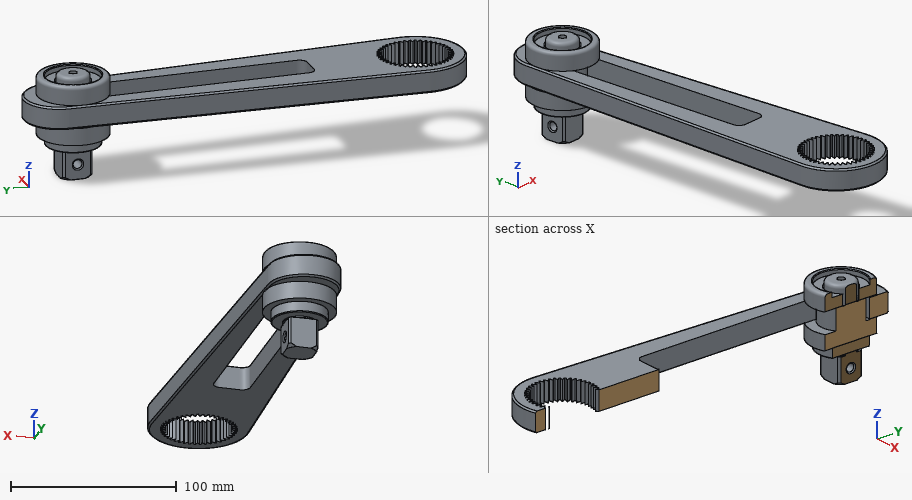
import cadquery as cq
import math

arm_thickness = 14.5
ring_end_radius = 30.98
slot_end_radius = 22.5
overall_length = 280.5
arm_edge_chamfer = 1.0
slot_width = 23.0
slot_corner_radius = 5.0
slot_start = 66.7

tooth_count = 44
tooth_turn = 2.3
tooth_root_radius = 23.3
tooth_tip_radius = 20.5
root_share = 0.25

overall_height = 65.5
head_inset = 31.5
head_radius = 22.5
post_radius = 15.1
cap_gap = 0.3
cap_height = 11.8
cap_fillet = 2.2
recess_radius = 17.5
recess_depth = 3.6
recess_chamfer = 0.5
flange_height = 11.0
disc_radius = 17.5
disc_height = 6.7
disc_chamfer = 0.5

button_radius = 10.5
button_bore_radius = 11.2
button_rise = 1.5
button_fillet = 2.5
button_hole_radius = 2.5
button_hole_depth = 2.8

square_size = 18.8
square_corner_radius = 12.3
square_end_chamfer = 2.0
collar_radius = 10.5
collar_height = 0.8
detent_hole_radius = 2.8
detent_countersink = 0.8

arm_top = arm_thickness / 2
arm_bottom = -arm_top
end_distance = overall_length - ring_end_radius - slot_end_radius
head_y = overall_length - ring_end_radius - head_inset
slot_end = head_y + post_radius
cap_bottom = arm_top + cap_gap
cap_top = cap_bottom + cap_height
recess_floor = cap_top - recess_depth
button_top = cap_top + button_rise
flange_bottom = arm_bottom - flange_height
disc_bottom = flange_bottom - disc_height
drive_bottom = button_top - overall_height


def disc(radius, bottom, top):
    """A cylinder on the head axis."""
    return cq.Workplane("XY", origin=(0, head_y, bottom)).circle(radius).extrude(top - bottom)


def polar(radius, angle):
    return (radius * math.cos(angle), radius * math.sin(angle))


def make_bar():
    tilt = math.asin((ring_end_radius - slot_end_radius) / end_distance)
    ring_x, ring_y = polar(ring_end_radius, tilt)
    end_x, end_rise = polar(slot_end_radius, tilt)
    end_y = end_distance + end_rise
    return (
        cq.Workplane("XY", origin=(0, 0, arm_bottom))
        .moveTo(ring_x, ring_y)
        .lineTo(end_x, end_y)
        .threePointArc((0, end_distance + slot_end_radius), (-end_x, end_y))
        .lineTo(-ring_x, ring_y)
        .threePointArc((0, -ring_end_radius), (ring_x, ring_y))
        .close()
        .extrude(arm_thickness)
        .faces("<Z or >Z")
        .chamfer(arm_edge_chamfer)
    )


def make_slot():
    return (
        cq.Workplane("XY", origin=(0, (slot_start + slot_end) / 2, 0))
        .rect(slot_width, slot_end - slot_start)
        .extrude(arm_top, both=True)
        .edges("|Z")
        .fillet(slot_corner_radius)
    )


def make_toothed_hole():
    pitch = 2 * math.pi / tooth_count
    turn = math.radians(tooth_turn)
    tooth_profile = [
        (tooth_tip_radius, 0),
        (tooth_root_radius, 0.5 - root_share / 2),
        (tooth_root_radius, 0.5 + root_share / 2),
    ]
    outline = []
    for tooth in range(tooth_count):
        start = turn + tooth * pitch
        for radius, position in tooth_profile:
            outline.append(polar(radius, start + position * pitch))
    return cq.Workplane("XY").polyline(outline).close().extrude(arm_top, both=True)


def make_arm():
    return make_bar().cut(make_slot()).cut(make_toothed_hole())


def make_cap():
    cap = disc(head_radius, cap_bottom, cap_top).faces(">Z").edges().fillet(cap_fillet)
    cap = cap.cut(disc(recess_radius, recess_floor, cap_top))
    rim = cap.faces(">Z").edges("%CIRCLE").edges(cq.selectors.RadiusNthSelector(0))
    cap = rim.chamfer(recess_chamfer)
    return cap.cut(disc(button_bore_radius, cap_bottom, cap_top))


def make_button():
    button = disc(button_radius, cap_bottom, button_top).faces(">Z").fillet(button_fillet)
    return button.cut(disc(button_hole_radius, button_top - button_hole_depth, button_top))


def make_flange():
    flats = cq.Workplane("XY").box(slot_width, 2 * head_radius, overall_height)
    post = disc(post_radius, arm_bottom, cap_bottom).intersect(flats.translate((0, head_y, 0)))
    return disc(head_radius, flange_bottom, arm_bottom).union(post)


def make_disc():
    return disc(disc_radius, disc_bottom, flange_bottom).faces("<Z").chamfer(disc_chamfer)


def make_drive():
    square_top = disc_bottom - collar_height
    height = square_top - drive_bottom
    turned = disc(square_corner_radius, drive_bottom, square_top).faces("<Z").chamfer(square_end_chamfer)
    square = (
        cq.Workplane("XY", origin=(0, head_y, drive_bottom))
        .rect(square_size, square_size)
        .extrude(height)
        .intersect(turned)
    )
    drive = square.union(disc(collar_radius, square_top, disc_bottom))
    half_size = square_size / 2
    wide_radius = detent_hole_radius + detent_countersink
    hole = (
        cq.Workplane("XY")
        .moveTo(-half_size, 0)
        .lineTo(-half_size, wide_radius)
        .lineTo(-half_size + detent_countersink, detent_hole_radius)
        .lineTo(half_size - detent_countersink, detent_hole_radius)
        .lineTo(half_size, wide_radius)
        .lineTo(half_size, 0)
        .close()
        .revolve(360, (0, 0, 0), (1, 0, 0))
        .translate((0, head_y, drive_bottom + height / 2))
    )
    return drive.cut(hole)


arm = make_arm()
cap = make_cap()
button = make_button()
flange = make_flange()
bottom_disc = make_disc()
drive = make_drive()

result = cq.Compound.makeCompound(
    [arm.val(), cap.val(), button.val(), flange.val(), bottom_disc.val(), drive.val()]
)